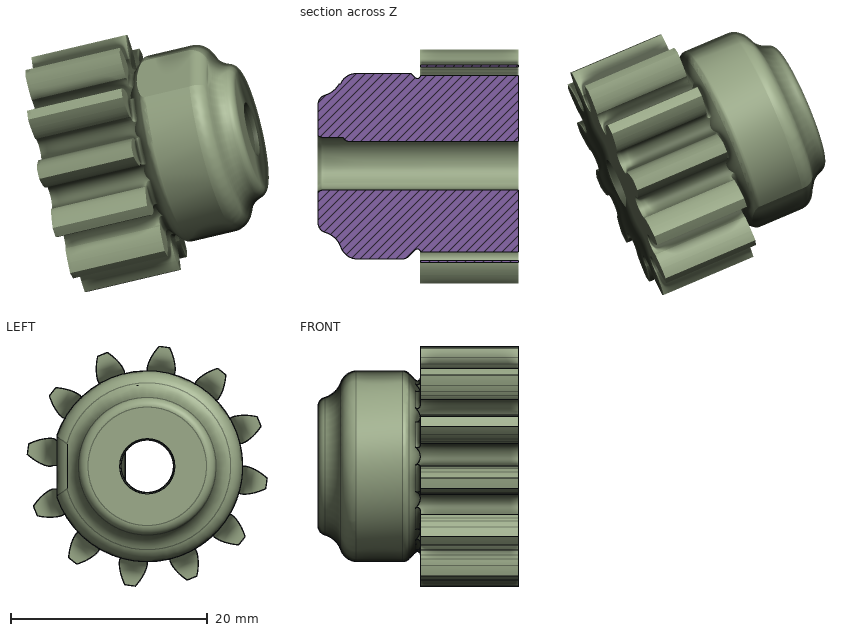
import cadquery as cq
import math


tooth_count = 12
gear_module = 1.75
pressure_angle = math.radians(20)
gear_width = 10.0
tooth_phase = math.radians(8.2)
pitch_radius = gear_module * tooth_count / 2
base_radius = pitch_radius * math.cos(pressure_angle)
tip_radius = pitch_radius + gear_module
root_radius = 8.25
flank_radii = (base_radius, 10.35, 10.75, 11.35, tip_radius)

hub_length = 10.4
total_length = hub_length + gear_width
hub_radius = 9.7
end_face_radius = 6.02
nose_end_x, nose_end_radius = 0.73, 7.0
junction_x, junction_radius = 2.32, 8.48
shoulder_end_x = 3.9
rear_cone_angle = math.radians(45)
rear_fillet_radius = 0.93
neck_fillet_radius = 0.3

flat_distance = 9.19
flat_shoulder_x, flat_shoulder_y = 2.3, 8.12

bore_radius = 2.65
bore_mouth_radius = 2.8
bore_mouth_depth = 0.41
bore_flat_distance = 2.22
bore_flat_start_x = 2.55
bore_flat_nose_radius = 0.8


def revolve_about_x(profile):
    return profile.close().revolve(360, (0, 0, 0), (1, 0, 0))


def polar(radius, angle):
    return (radius * math.cos(angle), radius * math.sin(angle))


def involute_angle(radius):
    """Polar angle swept by the involute between the base circle and the given radius."""
    roll = math.sqrt((radius / base_radius) ** 2 - 1)
    return roll - math.atan(roll)


def make_gear(start_x, width):
    pitch_angle = 2 * math.pi / tooth_count
    base_half_angle = pitch_angle / 4 + involute_angle(pitch_radius)

    def flank_point(radius, middle, side):
        half_angle = base_half_angle - involute_angle(radius)
        return polar(radius, middle + side * half_angle)

    def add_flank(outline, radii, middle, side):
        """One short arc per strip, each passing through the involute at its middle."""
        for start, end in zip(radii, radii[1:]):
            strip_middle = flank_point((start + end) / 2, middle, side)
            outline = outline.threePointArc(strip_middle, flank_point(end, middle, side))
        return outline

    outline = cq.Workplane("YZ", origin=(start_x, 0, 0))
    outline = outline.moveTo(*flank_point(base_radius, tooth_phase, -1))
    for tooth in range(tooth_count):
        middle = tooth_phase + tooth * pitch_angle
        gap_bottom = polar(root_radius, middle + pitch_angle / 2)
        outline = add_flank(outline, flank_radii, middle, -1)
        outline = outline.threePointArc(polar(tip_radius, middle), flank_point(tip_radius, middle, 1))
        outline = add_flank(outline, flank_radii[::-1], middle, 1)
        outline = outline.threePointArc(gap_bottom, flank_point(base_radius, middle + pitch_angle, -1))
    return outline.close().extrude(width)


def make_hub():
    """Body of revolution whose rear cone runs down to the gear root."""
    setback = rear_fillet_radius * math.tan(rear_cone_angle / 2)
    cone_start_x = hub_length - (hub_radius - root_radius) / math.tan(rear_cone_angle)
    cone_run = setback * math.cos(rear_cone_angle)
    cone_drop = setback * math.sin(rear_cone_angle)
    profile = (
        cq.Workplane("XZ")
        .lineTo(0, end_face_radius)
        .tangentArcPoint((nose_end_x, nose_end_radius), relative=False)
        .tangentArcPoint((junction_x, junction_radius), relative=False)
        .tangentArcPoint((shoulder_end_x, hub_radius), relative=False)
        .lineTo(cone_start_x - setback, hub_radius)
        .tangentArcPoint((cone_start_x + cone_run, hub_radius - cone_drop), relative=False)
        .lineTo(hub_length, root_radius)
        .lineTo(hub_length, 0)
    )
    return revolve_about_x(profile)


def make_flat_cutter():
    """Waste beyond the flat and beyond the rounded shoulder that leads into it."""
    outside = 1.5 * hub_radius
    return (
        cq.Workplane("XY", origin=(0, 0, -hub_radius))
        .moveTo(hub_length, flat_distance)
        .lineTo(shoulder_end_x, flat_distance)
        .tangentArcPoint((flat_shoulder_x, flat_shoulder_y), relative=False)
        .lineTo(0, flat_shoulder_y)
        .lineTo(0, outside)
        .lineTo(hub_length, outside)
        .close()
        .extrude(2 * hub_radius)
    )


def make_neck_fillets():
    """Fillet ring between the rear cone and the gear face, kept only in front of the teeth."""
    corner_angle = math.pi / 2 - rear_cone_angle
    tangent_length = neck_fillet_radius / math.tan(corner_angle / 2)
    cone_touch_x = hub_length - tangent_length * math.cos(rear_cone_angle)
    cone_touch_radius = root_radius + tangent_length * math.sin(rear_cone_angle)
    face_touch_radius = root_radius + tangent_length
    centre_x = hub_length - neck_fillet_radius
    arc_lowest = (centre_x, face_touch_radius - neck_fillet_radius)
    ring_overlap = 0.25
    ring_end_x = hub_length + ring_overlap
    inside = root_radius - ring_overlap
    profile = (
        cq.Workplane("XZ")
        .moveTo(cone_touch_x, inside)
        .lineTo(cone_touch_x, cone_touch_radius)
        .threePointArc(arc_lowest, (hub_length, face_touch_radius))
        .lineTo(ring_end_x, face_touch_radius)
        .lineTo(ring_end_x, inside)
    )
    ring = revolve_about_x(profile)
    return ring.intersect(make_gear(cone_touch_x, ring_end_x - cone_touch_x))


def make_bore():
    profile = (
        cq.Workplane("XZ")
        .lineTo(0, bore_mouth_radius)
        .lineTo(bore_mouth_depth, bore_radius)
        .lineTo(total_length, bore_radius)
        .lineTo(total_length, 0)
    )
    key_depth = bore_radius - bore_flat_distance
    nose_length = math.sqrt(bore_flat_nose_radius**2 - (bore_flat_nose_radius - key_depth) ** 2)
    nose_end = bore_flat_start_x + nose_length
    key = (
        cq.Workplane("XY", origin=(0, 0, -bore_radius))
        .moveTo(total_length, bore_flat_distance)
        .lineTo(nose_end, bore_flat_distance)
        .tangentArcPoint((bore_flat_start_x, bore_radius), relative=False)
        .lineTo(total_length, bore_radius)
        .close()
        .extrude(2 * bore_radius)
    )
    return revolve_about_x(profile).cut(key)


hub = make_hub().cut(make_flat_cutter())
gear = make_gear(hub_length, gear_width)
result = gear.union(hub).union(make_neck_fillets()).cut(make_bore())